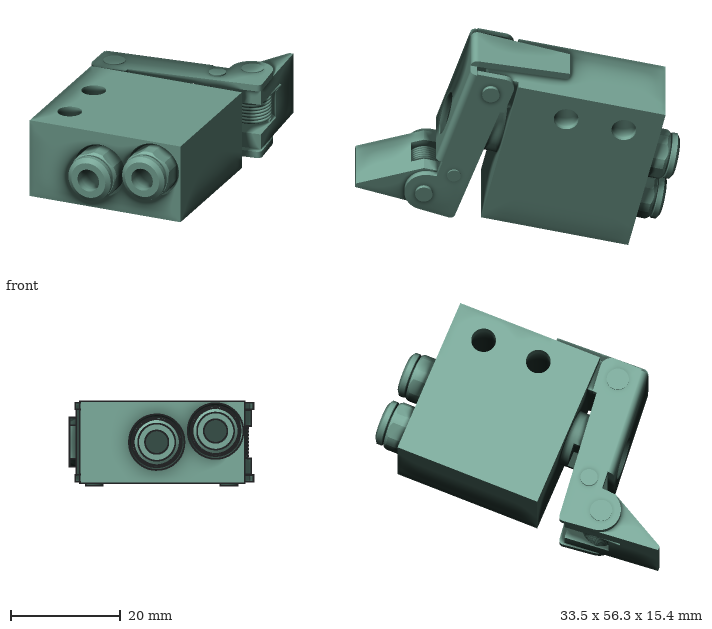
import cadquery as cq
import math


BLOCK_X = 30.0
BLOCK_Y = 27.5
BLOCK_Z = 15.0
MID_Z = BLOCK_Z / 2
MOUNT_HOLE_RADIUS = 2.25
MOUNT_HOLE_X = 5.0
MOUNT_HOLE_YS = (6.65, 17.4)
TONGUE_WIDTH = 5.95
TONGUE_LEFT_Y = 33.5
TONGUE_RIGHT_Y = 34.6
INNER_HALF_WIDTH = 5.85

FITTINGS = ((13.95, MID_Z, 10.7), (24.65, MID_Z + 2.0, 0.0))
RECESS_MOUTH_RADIUS = 5.05
RECESS_DEPTH = 0.9
HEX_CORNER_RADIUS = 4.55
HEX_APOTHEM = 4.35
HEX_TIP_RADIUS = 4.2
HEX_LENGTH = 3.25
HEX_CHAMFER_LENGTH = 0.55
NECK_RADIUS = 3.0
RING_RADIUS = 4.2
RING_START = 3.6
RING_CHAMFER_START = 4.6
RING_FACE_RADIUS = 3.4
RING_END = 5.2
RING_EDGE = 0.1
STEM_RADIUS = 3.4
STEM_END_Y = 5.65
TUBE_BORE_RADIUS = 2.15
TUBE_BORE_FLOOR_Y = 4.5

PLUNGER_X = 13.95
PLUNGER_RADIUS = 5.2
PLUNGER_FOOT_RADIUS = 5.25
PLUNGER_FOOT_HEIGHT = 0.5
PLUNGER_TOP_Y = 35.45
PLUNGER_DEPTH = 4.5
PLUNGER_NOTCH_X = 16.2
PLUNGER_NOTCH_Y = 29.0

LEVER_PIVOT = (2.6, 32.05)
PAWL_PIVOT = (27.1, 38.85)
STOP_PLACE = (22.05, 34.4)
PIVOT_SHANK_RADIUS = 1.6
PIVOT_HEAD_RADIUS = 2.0
PIVOT_HEAD_HEIGHT = 0.15
PIVOT_PIN_BOTTOM = -0.45
STOP_SHANK_RADIUS = 1.25
STOP_HEAD_RADIUS = 1.6

LEVER_TILT = math.radians(6.2)
WEB_TILT = math.radians(4.9)
CHEEK_OUTER = 7.2
CHEEK_INNER = 5.95
CHEEK_LEFT = -0.9
CHEEK_LOW_Y = 27.85
CHEEK_STEP = (6.4, 29.45)
CHEEK_LEFT_RADIUS = 2.0
CHEEK_RIGHT_RADIUS = 0.85
CHEEK_SMALL_RADIUS = 0.3
EYE_CENTER = (27.0, 38.45)
EYE_RADIUS = 3.95
CHEEK_RIGHT_LENGTH = 6.65
NECK_CORNER_X = 23.1
WEB_LEFT = -0.7
WEB_RIGHT = 19.7
WEB_LEFT_Y = 36.6
WEB_HOLE_RADIUS = 3.95
BEND_RADIUS = 1.2
PLATE = CHEEK_OUTER - CHEEK_INNER
LEAF_LEFT = -1.9
LEAF_END_Y = 18.3
LEAF_TAPER_Y = 35.2
LEAF_ROOT_HALF = 4.5
LEAF_END_HALF = 3.05

PAWL_TIP_Y = 51.1
PAWL_TIP_LEFT = 28.95
PAWL_TIP_RIGHT = 29.7
PAWL_LEFT = 22.75
PAWL_SHOULDER_Y = 39.85
PAWL_HEEL = (31.2, 33.35)
PAWL_TOE_Y = 32.45
PAWL_SLOT_HALF = 2.9
PAWL_SLOT_RADIUS = 4.45
PAWL_MOUTH_Y = 40.0

WIRE_RADIUS = 0.3
COIL_RADIUS = 3.2
COIL_PITCH = 0.635
COIL_TURNS = 8
LEG_END_Y = 43.9
LEG_CLEARANCE = 0.05


def box(x_range, y_range, z_range):
    sizes = [high - low for low, high in (x_range, y_range, z_range)]
    return cq.Workplane("XY").box(*sizes, centered=False).translate((x_range[0], y_range[0], z_range[0]))


def upright_cylinder(place, radius, bottom, top):
    return cq.Workplane("XY").center(*place).circle(radius).extrude(top - bottom).translate((0, 0, bottom))


def slab(outline, half_width):
    """Extrude an XY outline evenly to both sides of the middle height."""
    return outline.extrude(half_width, both=True).translate((0, 0, MID_Z))


def turned(profile, x, z):
    """Revolve a closed (radius, y) profile about the axis along Y through x and z."""
    solid = cq.Workplane("XY").polyline(profile).close().revolve(360, (0, 0, 0), (0, 1, 0))
    return solid.translate((x, 0, z))


def make_plunger():
    profile = [
        (0, BLOCK_Y - PLUNGER_DEPTH),
        (PLUNGER_FOOT_RADIUS, BLOCK_Y - PLUNGER_DEPTH),
        (PLUNGER_FOOT_RADIUS, BLOCK_Y),
        (PLUNGER_RADIUS, BLOCK_Y + PLUNGER_FOOT_HEIGHT),
        (PLUNGER_RADIUS, PLUNGER_TOP_Y),
        (0, PLUNGER_TOP_Y),
    ]
    notch = box((PLUNGER_NOTCH_X, BLOCK_X), (PLUNGER_NOTCH_Y, PLUNGER_TOP_Y), (MID_Z, BLOCK_Z))
    return turned(profile, PLUNGER_X, MID_Z).cut(notch)


def make_fitting(x, z, hex_turn):
    hex_end = -HEX_LENGTH
    barrel = turned([
        (0, RECESS_DEPTH),
        (HEX_CORNER_RADIUS, RECESS_DEPTH),
        (HEX_CORNER_RADIUS, hex_end + HEX_CHAMFER_LENGTH),
        (HEX_TIP_RADIUS, hex_end),
        (0, hex_end),
    ], 0, 0)
    hexagon = (
        cq.Workplane("XZ", origin=(0, RECESS_DEPTH, 0))
        .polygon(6, 2 * HEX_APOTHEM, circumscribed=True)
        .extrude(RECESS_DEPTH + HEX_LENGTH)
        .rotate((0, 0, 0), (0, 1, 0), hex_turn)
    )
    ring = turned([
        (0, hex_end),
        (NECK_RADIUS, hex_end),
        (NECK_RADIUS, -RING_START),
        (RING_RADIUS - RING_EDGE, -RING_START),
        (RING_RADIUS, -RING_START - RING_EDGE),
        (RING_RADIUS, -RING_CHAMFER_START),
        (RING_FACE_RADIUS, -RING_END),
        (0, -RING_END),
    ], 0, 0)
    stem = cq.Workplane("XZ").circle(STEM_RADIUS).extrude(-STEM_END_Y)
    bore = (
        cq.Workplane("XZ", origin=(0, TUBE_BORE_FLOOR_Y, 0))
        .circle(TUBE_BORE_RADIUS)
        .extrude(TUBE_BORE_FLOOR_Y + RING_END)
    )
    fitting = barrel.intersect(hexagon).union(ring).union(stem).cut(bore)
    return fitting.translate((x, 0, z))


def fitting_seat(x, z):
    """Conical recess and stem hole that receive one fitting."""
    return turned([
        (0, 0),
        (RECESS_MOUTH_RADIUS, 0),
        (HEX_CORNER_RADIUS, RECESS_DEPTH),
        (STEM_RADIUS, RECESS_DEPTH),
        (STEM_RADIUS, STEM_END_Y),
        (0, STEM_END_Y),
    ], x, z)


def make_pivot_pin(place):
    """Pin with a thin head resting on the upper cheek of the lever."""
    seat = MID_Z + CHEEK_OUTER
    shank = upright_cylinder(place, PIVOT_SHANK_RADIUS, PIVOT_PIN_BOTTOM, seat)
    return shank.union(upright_cylinder(place, PIVOT_HEAD_RADIUS, seat, seat + PIVOT_HEAD_HEIGHT))


def make_stop_pin():
    """Thinner pin, flush with the top and bottom of the housing block."""
    seat = MID_Z + CHEEK_OUTER
    shank = upright_cylinder(STOP_PLACE, STOP_SHANK_RADIUS, 0, seat)
    return shank.union(upright_cylinder(STOP_PLACE, STOP_HEAD_RADIUS, seat, BLOCK_Z))


def make_housing():
    housing = box((0, BLOCK_X), (0, BLOCK_Y), (0, BLOCK_Z))
    tongue_outline = cq.Workplane("XY").polyline([
        (0, BLOCK_Y),
        (TONGUE_WIDTH, BLOCK_Y),
        (TONGUE_WIDTH, TONGUE_RIGHT_Y),
        (0, TONGUE_LEFT_Y),
    ]).close()
    housing = housing.union(slab(tongue_outline, INNER_HALF_WIDTH))
    for y in MOUNT_HOLE_YS:
        housing = housing.cut(upright_cylinder((MOUNT_HOLE_X, y), MOUNT_HOLE_RADIUS, 0, BLOCK_Z))
    for x, z, _ in FITTINGS:
        housing = housing.cut(fitting_seat(x, z))
    return housing.cut(make_plunger()).cut(make_pivot_pin(LEVER_PIVOT))


def web_outer_y(x):
    return WEB_LEFT_Y + (x - WEB_LEFT) * math.tan(WEB_TILT)


def web_inner_y(x):
    return web_outer_y(x) - PLATE / math.cos(WEB_TILT)


def make_cheek(bottom):
    """One side plate of the bracket, standing on the height given as bottom."""
    eye_x, eye_y = EYE_CENTER
    cos_tilt, sin_tilt = math.cos(LEVER_TILT), math.sin(LEVER_TILT)
    tangent = (eye_x + EYE_RADIUS * cos_tilt, eye_y + EYE_RADIUS * sin_tilt)
    right_corner = (tangent[0] + CHEEK_RIGHT_LENGTH * sin_tilt, tangent[1] - CHEEK_RIGHT_LENGTH * cos_tilt)
    step_x, step_y = CHEEK_STEP
    step_low_y = CHEEK_LOW_Y + (step_x - CHEEK_LEFT) * math.tan(LEVER_TILT)
    neck_corner = (NECK_CORNER_X, web_inner_y(NECK_CORNER_X))
    outline = (
        cq.Workplane("XY")
        .moveTo(CHEEK_LEFT, CHEEK_LOW_Y)
        .lineTo(step_x, step_low_y)
        .lineTo(step_x, step_y)
        .lineTo(*right_corner)
        .lineTo(*tangent)
        .threePointArc((eye_x, eye_y + EYE_RADIUS), (eye_x - EYE_RADIUS, eye_y))
        .lineTo(*neck_corner)
        .lineTo(CHEEK_LEFT, web_inner_y(CHEEK_LEFT))
        .close()
    )
    cheek = outline.extrude(PLATE)
    roundings = (
        ((CHEEK_LEFT, CHEEK_LOW_Y), CHEEK_LEFT_RADIUS),
        ((step_x, step_low_y), CHEEK_SMALL_RADIUS),
        (right_corner, CHEEK_RIGHT_RADIUS),
        (neck_corner, CHEEK_SMALL_RADIUS),
    )
    for (x, y), radius in roundings:
        corner_edge = cq.selectors.NearestToPointSelector((x, y, PLATE / 2))
        cheek = cheek.edges(corner_edge).fillet(radius)
    return cheek.translate((0, 0, bottom))


def make_web():
    """Plate that joins the cheeks, with a round hole over the plunger."""
    outline = cq.Workplane("XY").polyline([
        (WEB_LEFT, web_inner_y(WEB_LEFT)),
        (WEB_RIGHT, web_inner_y(WEB_RIGHT)),
        (WEB_RIGHT, web_outer_y(WEB_RIGHT)),
        (WEB_LEFT, web_outer_y(WEB_LEFT)),
    ]).close()
    middle_x = (WEB_LEFT + WEB_RIGHT) / 2
    web = slab(outline, CHEEK_OUTER)
    for side in (-1, 1):
        corner = (middle_x, web_outer_y(middle_x), MID_Z + side * CHEEK_OUTER)
        web = web.edges(cq.selectors.NearestToPointSelector(corner)).fillet(BEND_RADIUS)
    hole = (
        cq.Workplane("XZ", origin=(PLUNGER_X, PLUNGER_TOP_Y, MID_Z))
        .circle(WEB_HOLE_RADIUS)
        .extrude(PLUNGER_TOP_Y - web_outer_y(WEB_RIGHT))
    )
    return web.cut(hole)


def make_leaf():
    """Tapered leaf bent down from the left end of the web."""
    bend = WEB_LEFT - LEAF_LEFT
    bend_y = WEB_LEFT_Y - bend
    middle = (WEB_LEFT - bend * math.sqrt(0.5), bend_y + bend * math.sqrt(0.5))
    side_view = (
        cq.Workplane("XY")
        .moveTo(WEB_LEFT, LEAF_END_Y)
        .lineTo(WEB_LEFT, WEB_LEFT_Y)
        .threePointArc(middle, (LEAF_LEFT, bend_y))
        .lineTo(LEAF_LEFT, LEAF_END_Y)
        .close()
    )
    face_view = cq.Workplane("YZ", origin=(LEAF_LEFT, 0, MID_Z)).polyline([
        (LEAF_END_Y, -LEAF_END_HALF),
        (LEAF_TAPER_Y, -LEAF_ROOT_HALF),
        (WEB_LEFT_Y, -LEAF_ROOT_HALF),
        (WEB_LEFT_Y, LEAF_ROOT_HALF),
        (LEAF_TAPER_Y, LEAF_ROOT_HALF),
        (LEAF_END_Y, LEAF_END_HALF),
    ]).close().extrude(bend)
    return slab(side_view, CHEEK_OUTER).intersect(face_view)


def make_bracket():
    bracket = make_web().union(make_leaf())
    for bottom in (MID_Z - CHEEK_OUTER, MID_Z + CHEEK_INNER):
        bracket = bracket.union(make_cheek(bottom))
    for pivot in (LEVER_PIVOT, PAWL_PIVOT):
        bracket = bracket.cut(make_pivot_pin(pivot))
    return bracket.cut(make_stop_pin())


def make_pawl():
    heel_x = PAWL_HEEL[0]
    outline = cq.Workplane("XY").polyline([
        (PAWL_LEFT, PAWL_TOE_Y),
        PAWL_HEEL,
        (PAWL_TIP_RIGHT, PAWL_TIP_Y),
        (PAWL_TIP_LEFT, PAWL_TIP_Y),
        (PAWL_LEFT, PAWL_SHOULDER_Y),
    ]).close()
    pivot_x, pivot_y = PAWL_PIVOT
    slot_z = (MID_Z - PAWL_SLOT_HALF, MID_Z + PAWL_SLOT_HALF)
    spring_well = upright_cylinder(PAWL_PIVOT, PAWL_SLOT_RADIUS, *slot_z)
    open_slot = box((PAWL_LEFT, heel_x), (PAWL_TOE_Y, PAWL_MOUTH_Y), slot_z)
    leg_left = pivot_x + COIL_RADIUS - WIRE_RADIUS - LEG_CLEARANCE
    leg_z = MID_Z + COIL_PITCH * COIL_TURNS / 2 - WIRE_RADIUS - LEG_CLEARANCE
    leg_groove = box((leg_left, heel_x), (pivot_y, LEG_END_Y + LEG_CLEARANCE), (leg_z, slot_z[1]))
    pawl = slab(outline, INNER_HALF_WIDTH).cut(spring_well).cut(open_slot).cut(leg_groove)
    return pawl.cut(make_pivot_pin(PAWL_PIVOT)).cut(make_stop_pin())


def make_spring():
    height = COIL_PITCH * COIL_TURNS
    pivot_x, pivot_y = PAWL_PIVOT
    path = cq.Workplane(cq.Wire.makeHelix(COIL_PITCH, height, COIL_RADIUS))
    coil = (
        cq.Workplane("XZ", origin=(COIL_RADIUS, 0, 0))
        .circle(WIRE_RADIUS)
        .sweep(path, isFrenet=True)
    )
    leg = (
        cq.Workplane("XZ", origin=(COIL_RADIUS, 0, height))
        .circle(WIRE_RADIUS)
        .extrude(pivot_y - LEG_END_Y)
    )
    return coil.union(leg).translate((pivot_x, pivot_y, MID_Z - height / 2))


housing = make_housing()
fittings = [make_fitting(*placement) for placement in FITTINGS]
plunger = make_plunger()
bracket = make_bracket()
pawl = make_pawl()
spring = make_spring()
pivot_pins = [make_pivot_pin(place) for place in (LEVER_PIVOT, PAWL_PIVOT)]
stop_pin = make_stop_pin()

bodies = [housing, *fittings, plunger, bracket, pawl, spring, *pivot_pins, stop_pin]
result = cq.Compound.makeCompound([body.solids().val() for body in bodies])